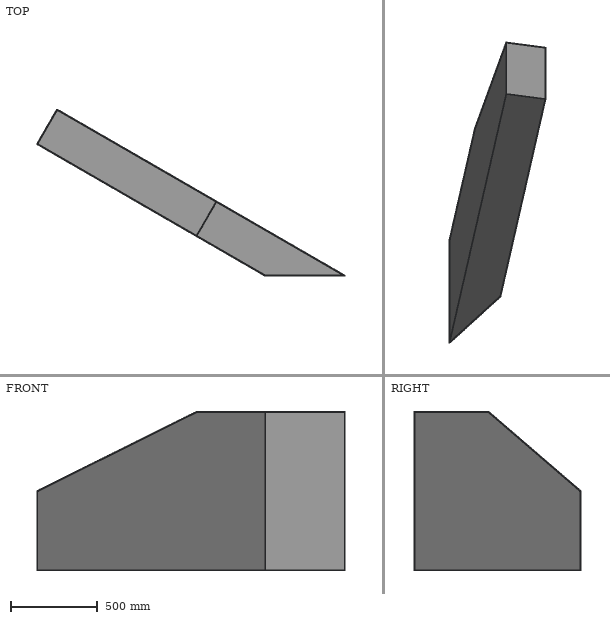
import cadquery as cq
import math

length_x = 1777.0
depth_y = 960.0
height = 915.0
far_end_height = height / 2
slope_run = 1063.0
wall_angle = 30.0

angle = math.radians(wall_angle)
wall_length = depth_y / math.sin(angle)
thickness = (length_x - wall_length * math.cos(angle)) / math.sin(angle)
mitre_length = thickness / math.tan(angle)

wall = (
    cq.Workplane("XY")
    .polyline([
        (0, 0),
        (wall_length, 0),
        (wall_length - mitre_length, -thickness),
        (0, -thickness),
    ])
    .close()
    .extrude(height)
)

slope_wedge = (
    cq.Workplane("XZ")
    .polyline([(0, far_end_height), (slope_run, height), (0, height)])
    .close()
    .extrude(thickness)
)

result = (
    wall.cut(slope_wedge)
    .rotate((0, 0, 0), (0, 0, 1), -wall_angle)
    .translate((thickness * math.sin(angle), depth_y, 0))
)